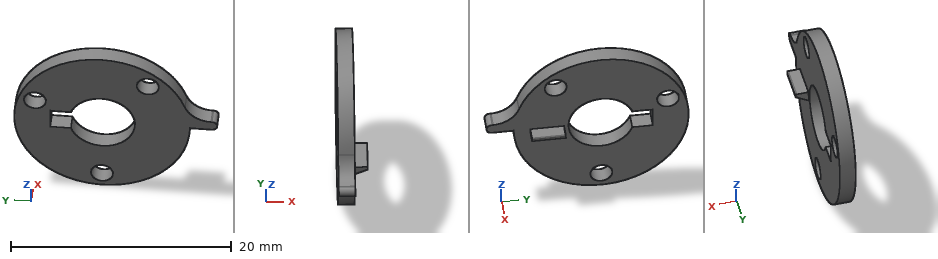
import cadquery as cq
import math

disc_radius = 7.997
disc_thickness = 1.5
bore_radius = 3.0

keyway_width = 2.0
keyway_reach = 4.7

hole_radius = 1.0
hole_pitch_radius = 6.49
hole_angles = (20, 130, 270)

finger_height = 1.0
finger_reach = 18.49 - disc_radius
finger_fillet_radius = 2.5

catch_outer_radius = 6.49
catch_length = 3.09
catch_root_height = 1.0
catch_tip_height = 0.35
catch_tip_x = 2.7
catch_edge_radius = 0.1


def make_disc():
    return cq.Workplane("YZ").circle(disc_radius).extrude(disc_thickness)


def make_finger():
    """Round-ended finger whose top blends tangentially into the disc rim."""
    tip_radius = finger_height / 2
    tip_center_y = tip_radius - finger_reach

    fillet_center_z = finger_height + finger_fillet_radius
    center_distance = disc_radius + finger_fillet_radius
    fillet_center_y = -math.sqrt(center_distance**2 - fillet_center_z**2)
    rim_share = disc_radius / center_distance
    rim_point = (fillet_center_y * rim_share, fillet_center_z * rim_share)
    fillet_end = (fillet_center_y, finger_height)

    return (
        cq.Workplane("YZ")
        .lineTo(tip_center_y, 0)
        .threePointArc((-finger_reach, tip_radius), (tip_center_y, finger_height))
        .lineTo(*fillet_end)
        .radiusArc(rim_point, -finger_fillet_radius)
        .close()
        .extrude(disc_thickness)
    )


def make_catch():
    """Wedge with a flat top at Z = 0 and a sloping underside, on the -Y side."""
    wedge = (
        cq.Workplane("XZ")
        .moveTo(disc_thickness, 0)
        .lineTo(catch_tip_x, 0)
        .lineTo(catch_tip_x, -catch_tip_height)
        .lineTo(disc_thickness, -catch_root_height)
        .close()
        .extrude(disc_radius)
        .edges(">X and >Z")
        .fillet(catch_edge_radius)
    )
    outer_round = cq.Workplane("YZ").circle(catch_outer_radius).extrude(catch_tip_x)
    inner_round = outer_round.translate((0, catch_length, 0))
    return wedge.intersect(outer_round).cut(inner_round)


def make_bore_with_keyway():
    bore = cq.Workplane("YZ").circle(bore_radius).extrude(disc_thickness)
    keyway = cq.Workplane("YZ").rect(keyway_reach, keyway_width).extrude(disc_thickness)
    return bore.union(keyway.translate((0, keyway_reach / 2, 0)))


def make_holes():
    centers = []
    for angle in hole_angles:
        turn = math.radians(angle)
        centers.append((hole_pitch_radius * math.cos(turn), hole_pitch_radius * math.sin(turn)))
    return cq.Workplane("YZ").pushPoints(centers).circle(hole_radius).extrude(disc_thickness)


result = (
    make_disc()
    .union(make_finger())
    .cut(make_bore_with_keyway())
    .cut(make_holes())
    .union(make_catch())
)